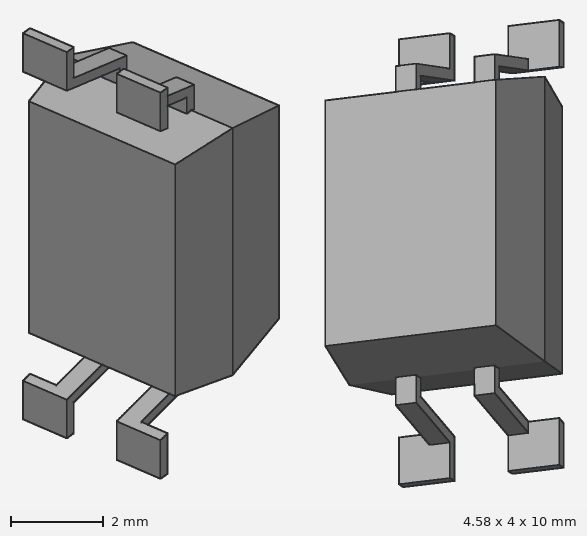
import cadquery as cq
import math

HOUSING_WIDTH = 4.58
HOUSING_HEIGHT = 6.4
FACE_WIDTH = 4.0
FRONT_DEPTH = 1.64
BACK_DEPTH = 2.0
FRONT_SETBACK = 0.2
BACK_TOP_SETBACK = 0.58
BACK_BOTTOM_SETBACK = 0.3

LEAD_SPAN = 10.0
LEAD_THICKNESS = 0.25
LEAD_WIDTH = 0.48
LEAD_INNER_X = 0.68
LEAD_BACK_Y = 0.1
PAD_FRONT_Y = -2.0
PAD_WIDTH = 1.2
PAD_LENGTH = 1.0
ARM_ANGLE = 12.0

HALF_HEIGHT = HOUSING_HEIGHT / 2
LEAD_END_Z = LEAD_SPAN / 2
LEAD_FRONT_Y = LEAD_BACK_Y - LEAD_THICKNESS
PAD_BACK_Y = PAD_FRONT_Y + LEAD_THICKNESS
LEG_START_Z = HALF_HEIGHT - LEAD_THICKNESS


def housing_section(y, width, bottom, top):
    """Rectangular wire in the plane at y, centred on X."""
    half = width / 2
    corners = [(-half, bottom), (half, bottom), (half, top), (-half, top)]
    return cq.Wire.makePolygon([cq.Vector(x, y, z) for x, z in corners], close=True)


def make_housing():
    middle = housing_section(0, HOUSING_WIDTH, -HALF_HEIGHT, HALF_HEIGHT)
    front_half_height = HALF_HEIGHT - FRONT_SETBACK
    front = housing_section(-FRONT_DEPTH, FACE_WIDTH, -front_half_height, front_half_height)
    back = housing_section(
        BACK_DEPTH,
        FACE_WIDTH,
        BACK_BOTTOM_SETBACK - HALF_HEIGHT,
        HALF_HEIGHT - BACK_TOP_SETBACK,
    )
    front_part = cq.Solid.makeLoft([front, middle], True)
    back_part = cq.Solid.makeLoft([middle, back], True)
    return cq.Workplane(obj=front_part).union(cq.Workplane(obj=back_part))


def arm_lower_z(y):
    """Height of the arm's inner side, which runs on to the pad's front edge."""
    pad_edge_z = LEAD_END_Z - PAD_LENGTH
    return pad_edge_z - (y - PAD_FRONT_Y) * math.tan(math.radians(ARM_ANGLE))


def arm_upper_z(y):
    return arm_lower_z(y) + LEAD_THICKNESS / math.cos(math.radians(ARM_ANGLE))


def extrude_profile(points, width):
    """Extrude a (y, z) outline along +X from the lead's inner edge."""
    return cq.Workplane("YZ", origin=(LEAD_INNER_X, 0, 0)).polyline(points).close().extrude(width)


def make_lead(housing, mirror_x, mirror_z):
    """One lead, its leg trimmed to sit on the housing's ridge."""
    strip = extrude_profile(
        [
            (LEAD_BACK_Y, LEG_START_Z),
            (LEAD_BACK_Y, arm_upper_z(LEAD_BACK_Y)),
            (PAD_BACK_Y, arm_upper_z(PAD_BACK_Y)),
            (PAD_BACK_Y, arm_lower_z(PAD_BACK_Y)),
            (LEAD_FRONT_Y, arm_lower_z(LEAD_FRONT_Y)),
            (LEAD_FRONT_Y, LEG_START_Z),
        ],
        LEAD_WIDTH,
    )
    pad = extrude_profile(
        [
            (PAD_BACK_Y, arm_lower_z(PAD_BACK_Y)),
            (PAD_BACK_Y, LEAD_END_Z),
            (PAD_FRONT_Y, LEAD_END_Z),
            (PAD_FRONT_Y, arm_lower_z(PAD_FRONT_Y)),
        ],
        PAD_WIDTH,
    )
    lead = strip.union(pad)
    if mirror_x:
        lead = lead.mirror("YZ")
    if mirror_z:
        lead = lead.mirror("XY")
    return lead.cut(housing)


housing = make_housing()

leads = []
for mirror_x in (False, True):
    for mirror_z in (False, True):
        leads.append(make_lead(housing, mirror_x, mirror_z).val())

result = cq.Compound.makeCompound([housing.val(), *leads])